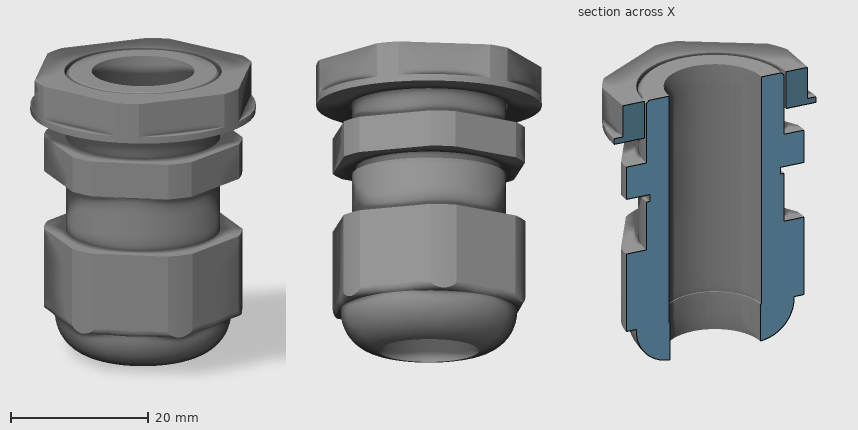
import cadquery as cq
import math


dome_curve_top = 5.8
dome_top = 6.0
cap_top = 18.55
undercut_bottom = 26.25
body_hex_bottom = 27.27
body_hex_top = 32.55
total_height = 42.55

body_wrench_size = 26.7
cap_wrench_size = 26.75
hex_corner_radius = 14.45
cap_edge_fillet = 1.1
dome_radius = 12.85
dome_rim_radius = 7.5
thread_radius = 11.25
undercut_radius = 10.65
thread_chamfer = 0.5
bore_radius = 7.5
mouth_radius = 7.28

nut_height = 6.0
nut_flange_thickness = 0.98
nut_flange_diameter = 32.9
nut_flange_radius = nut_flange_diameter / 2
nut_wrench_size = 30.0
nut_hole_radius = 11.5


def cylinder(radius, bottom, top):
    return cq.Workplane("XY").workplane(offset=bottom).circle(radius).extrude(top - bottom)


def hexagon(across_flats, bottom, top):
    """Hexagonal prism with two flats facing +Y and -Y."""
    across_corners = across_flats / math.cos(math.radians(30))
    return cq.Workplane("XY").workplane(offset=bottom).polygon(6, across_corners).extrude(top - bottom)


def turned_hexagon(across_flats, bottom, top):
    """Hexagonal prism with two flats facing +X and -X."""
    return hexagon(across_flats, bottom, top).rotate((0, 0, 0), (0, 0, 1), 90)


def make_dome():
    """Rounded end: upright at its top, curving in to a narrow flat rim."""
    return (
        cq.Workplane("XZ")
        .moveTo(0, 0)
        .lineTo(0, dome_top)
        .lineTo(dome_radius, dome_top)
        .lineTo(dome_radius, dome_curve_top)
        .tangentArcPoint((dome_rim_radius, 0), relative=False)
        .close()
        .revolve(360, (0, 0, 0), (0, 1, 0))
    )


def make_cap():
    """Lower hexagon on the dome, rounded under its flats and then trimmed at its corners."""
    cap = turned_hexagon(cap_wrench_size, dome_top, cap_top).union(make_dome())
    reach = cap_wrench_size
    level_band = 0.05
    foot_box = cq.selectors.BoxSelector(
        (-reach, -reach, dome_top - level_band),
        (reach, reach, dome_top + level_band),
    )
    cap = cap.edges("%LINE").edges(foot_box).fillet(cap_edge_fillet)
    return cap.intersect(cylinder(hex_corner_radius, 0, cap_top))


def make_body_hexagon():
    trim = cylinder(hex_corner_radius, body_hex_bottom, body_hex_top)
    return turned_hexagon(body_wrench_size, body_hex_bottom, body_hex_top).intersect(trim)


def make_gland():
    lower_neck = cylinder(thread_radius, cap_top, undercut_bottom)
    undercut = cylinder(undercut_radius, undercut_bottom, body_hex_bottom)
    thread = cylinder(thread_radius, body_hex_top, total_height).faces(">Z").edges().chamfer(thread_chamfer)
    outside = make_cap().union(lower_neck).union(undercut).union(make_body_hexagon()).union(thread)
    mouth = cylinder(mouth_radius, 0, dome_top)
    bore = cylinder(bore_radius, dome_top, total_height)
    return outside.cut(mouth).cut(bore)


def make_locknut():
    nut_bottom = total_height - nut_height
    flange = cylinder(nut_flange_radius, nut_bottom, nut_bottom + nut_flange_thickness)
    trim = cylinder(nut_flange_radius, nut_bottom, total_height)
    flats = hexagon(nut_wrench_size, nut_bottom, total_height).intersect(trim)
    hole = cylinder(nut_hole_radius, nut_bottom, total_height)
    return flats.union(flange).cut(hole)


gland = make_gland()
locknut = make_locknut()

result = cq.Compound.makeCompound([gland.val(), locknut.val()])